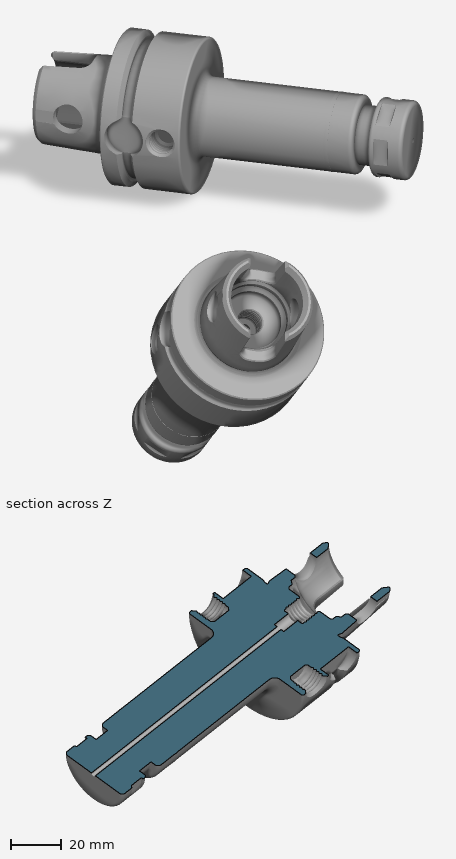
import cadquery as cq
import math

total_length = 152.0
axis_start = cq.Vector(0, 0, 0)
axis_end = cq.Vector(1, 0, 0)

flange_x = 31.8
taper_tip_radius = 18.47
taper_per_length = 0.05
tip_chamfer_length = 1.7
tip_chamfer_depth = 1.2
neck_start_x = 30.5
neck_radius = 19.5
face_relief_radius = 22.0
face_relief_floor_radius = 20.8
face_relief_depth = 0.5

flange_radius = 31.5
flange_end_x = 64.9
front_chamfer = 0.5
back_rounding = 0.9
groove_x = 41.8
groove_floor_width = 3.6
groove_mouth_width = 6.5
groove_floor_radius = 27.8
groove_shoulder_radius = 29.2

shaft_radius = 16.0
shaft_fillet = 3.0
ring_start_x = 119.8
ring_end_x = 121.5
ring_height = 0.08
shaft_end_x = 131.5
shaft_end_rounding = 1.8
collar_radius = 12.0

nut_radius = shaft_radius
nut_start_x = 137.9
nut_start_rounding = 1.4
nut_end_rounding = 1.7
flat_count = 6
flat_distance = 14.97
flat_start_x = 140.1
flat_end_x = 145.8
flat_end_slope = 0.6

bore_mouth_radius = 16.4
bore_mouth_length = 2.3
bore_radius = 14.7
bore_step_x = 21.0
inner_bore_radius = 13.75
inner_bore_end_x = 24.3
seat_radius = 12.0
seat_cone_length = 1.2
bore_floor_x = 28.1
seat_rounding = 1.0
coolant_thread_depth = 9.1
coolant_thread_tip_diameter = 9.3
coolant_bore_diameter = 5.0
coolant_bore_end_x = 45.6
through_diameter = 2.0

slot_width = 14.1
slot_end_x = 20.2
slot_corner_radius = 4.1
slot_edge_bevel = 0.5
slot_mouth_chamfer = 1.2
edge_margin = 0.2
cross_hole_x = 15.0
cross_hole_diameter = 12.5
key_flat_width = 5.2
key_flat_y = 18.4

pocket_diameter = 16.0
pocket_floor_y = 26.8
side_thread_x = 56.8
side_thread_mouth_y = 31.0
side_thread_depth = 9.1
side_thread_mouth_diameter = 12.0
side_thread_tip_diameter = 8.0

thread_major_diameter = 11.0
thread_minor_diameter = 10.0
thread_pitch = 1.5
lead_in = 1.5


def taper_radius(x):
    return taper_tip_radius + taper_per_length * x


def revolve_about_x(outline):
    return outline.close().revolve(360, axis_start, axis_end)


def outer_body():
    tip_radius = taper_radius(tip_chamfer_length) - tip_chamfer_depth
    groove_mouth = groove_mouth_width / 2
    groove_floor = groove_floor_width / 2
    outline = (
        cq.Workplane("XY")
        .lineTo(0, tip_radius)
        .lineTo(tip_chamfer_length, taper_radius(tip_chamfer_length))
        .lineTo(neck_start_x, taper_radius(neck_start_x))
        .lineTo(flange_x, neck_radius)
        .lineTo(flange_x + face_relief_depth, neck_radius)
        .lineTo(flange_x + face_relief_depth, face_relief_floor_radius)
        .lineTo(flange_x, face_relief_radius)
        .lineTo(flange_x, flange_radius - front_chamfer)
        .lineTo(flange_x + front_chamfer, flange_radius)
        .lineTo(groove_x - groove_mouth, flange_radius)
        .lineTo(groove_x - groove_floor, groove_shoulder_radius)
        .lineTo(groove_x - groove_floor, groove_floor_radius)
        .lineTo(groove_x + groove_floor, groove_floor_radius)
        .lineTo(groove_x + groove_floor, groove_shoulder_radius)
        .lineTo(groove_x + groove_mouth, flange_radius)
        .lineTo(flange_end_x - back_rounding, flange_radius)
        .radiusArc((flange_end_x, flange_radius - back_rounding), back_rounding)
        .lineTo(flange_end_x, shaft_radius + shaft_fillet)
        .radiusArc((flange_end_x + shaft_fillet, shaft_radius), -shaft_fillet)
        .lineTo(ring_start_x, shaft_radius)
        .lineTo(ring_start_x, shaft_radius + ring_height)
        .lineTo(ring_end_x, shaft_radius + ring_height)
        .lineTo(ring_end_x, shaft_radius)
        .lineTo(shaft_end_x - shaft_end_rounding, shaft_radius)
        .radiusArc((shaft_end_x, shaft_radius - shaft_end_rounding), shaft_end_rounding)
        .lineTo(shaft_end_x, collar_radius)
        .lineTo(nut_start_x, collar_radius)
        .lineTo(nut_start_x, nut_radius - nut_start_rounding)
        .radiusArc((nut_start_x + nut_start_rounding, nut_radius), nut_start_rounding)
        .lineTo(total_length - nut_end_rounding, nut_radius)
        .radiusArc((total_length, nut_radius - nut_end_rounding), nut_end_rounding)
        .lineTo(total_length, 0)
    )
    return revolve_about_x(outline)


def shank_bore():
    outline = (
        cq.Workplane("XY")
        .lineTo(0, bore_mouth_radius)
        .lineTo(bore_mouth_length, bore_radius)
        .lineTo(bore_step_x, bore_radius)
        .lineTo(bore_step_x + bore_radius - inner_bore_radius, inner_bore_radius)
        .lineTo(inner_bore_end_x, inner_bore_radius)
        .lineTo(inner_bore_end_x + seat_cone_length, seat_radius)
        .lineTo(bore_floor_x - seat_rounding, seat_radius)
        .radiusArc((bore_floor_x, seat_radius - seat_rounding), seat_rounding)
        .lineTo(bore_floor_x, 0)
    )
    return revolve_about_x(outline)


def tapped_hole(depth, mouth_diameter, tip_diameter):
    """Hole along +X from X = 0: mouth chamfer, ring-shaped thread grooves, tapered tip.

    Ahead of X = 0 the hole continues at its mouth diameter to break through a curved surface.
    """
    major = thread_major_diameter / 2
    minor = thread_minor_diameter / 2
    mouth = mouth_diameter / 2
    tip = tip_diameter / 2
    outline = (
        cq.Workplane("XY")
        .moveTo(-lead_in, 0)
        .lineTo(-lead_in, mouth)
        .lineTo(0, mouth)
        .lineTo(mouth - minor, minor)
    )
    first_groove = mouth - minor + thread_pitch / 2
    groove_count = math.floor((depth - first_groove) / thread_pitch)
    for index in range(groove_count):
        crest = first_groove + index * thread_pitch
        outline = (
            outline.lineTo(crest, minor)
            .lineTo(crest + major - minor, major)
            .lineTo(crest + 2 * (major - minor), minor)
        )
    tip_end = depth + minor - tip
    outline = outline.lineTo(depth, minor).lineTo(tip_end, tip).lineTo(tip_end, 0)
    return revolve_about_x(outline)


def axial_hole(start_x, end_x, diameter):
    return cq.Workplane("YZ", origin=(start_x, 0, 0)).circle(diameter / 2).extrude(end_x - start_x)


def drive_slot():
    """Slot along X that opens at the taper tip and passes through both walls of the shank."""
    half_width = slot_width / 2
    half_mouth = half_width + slot_mouth_chamfer
    height = 2 * flange_radius
    slot = (
        cq.Workplane("XY", origin=(0, 0, -height / 2))
        .moveTo(0, -half_mouth)
        .lineTo(slot_mouth_chamfer, -half_width)
        .lineTo(slot_end_x, -half_width)
        .lineTo(slot_end_x, half_width)
        .lineTo(slot_mouth_chamfer, half_width)
        .lineTo(0, half_mouth)
        .close()
        .extrude(height)
    )
    return slot.edges("|Z and >X").fillet(slot_corner_radius)


def bevel_slot_edges(body, start_x, inner_z, outer_z):
    """Bevel the slot edges that lie between two heights, on both sides of the shank."""
    end_x = slot_end_x + slot_edge_bevel
    half_width = slot_width / 2 + slot_edge_bevel
    for low_z, high_z in ((inner_z, outer_z), (-outer_z, -inner_z)):
        rim = cq.selectors.BoxSelector((start_x, -half_width, low_z), (end_x, half_width, high_z))
        body = body.edges(rim).chamfer(slot_edge_bevel)
    return body


def cross_hole():
    return (
        cq.Workplane("XZ", origin=(cross_hole_x, 0, 0))
        .circle(cross_hole_diameter / 2)
        .extrude(flange_radius, both=True)
    )


def key_flat():
    """Cutter for the flat between taper tip and cross hole on the -Y side."""
    return cq.Workplane("XY").box(
        cross_hole_x, key_flat_y, key_flat_width, centered=(False, False, True)
    ).translate((0, -2 * key_flat_y, 0))


def flange_pocket():
    return (
        cq.Workplane("XZ", origin=(groove_x, -pocket_floor_y, 0))
        .circle(pocket_diameter / 2)
        .extrude(flange_radius - pocket_floor_y)
    )


def flange_thread():
    return (
        tapped_hole(side_thread_depth, side_thread_mouth_diameter, side_thread_tip_diameter)
        .rotate(axis_start, (0, 0, 1), 90)
        .translate((side_thread_x, -side_thread_mouth_y, 0))
    )


def coolant_thread():
    return tapped_hole(
        coolant_thread_depth, thread_major_diameter, coolant_thread_tip_diameter
    ).translate((bore_floor_x, 0, 0))


def nut_flat():
    """Cutter for one spanner flat on the -Y side, with a sloped wall towards the nut face."""
    return (
        cq.Workplane("XY", origin=(0, 0, -nut_radius))
        .moveTo(flat_start_x, -flat_distance)
        .lineTo(flat_end_x, -flat_distance)
        .lineTo(flat_end_x + flat_end_slope, -nut_radius)
        .lineTo(flat_start_x, -nut_radius)
        .close()
        .extrude(2 * nut_radius)
    )


def turned_about_x(shape, angle):
    return shape.rotate(axis_start, axis_end, angle)


bore_edge_z = math.sqrt(bore_radius**2 - (slot_width / 2) ** 2)
result = outer_body().cut(drive_slot())
result = bevel_slot_edges(result, slot_mouth_chamfer, bore_radius, flange_radius)
result = result.cut(shank_bore())
result = bevel_slot_edges(result, bore_mouth_length, bore_edge_z - edge_margin, bore_radius + edge_margin)
result = result.cut(cross_hole())

for make_cutter in (key_flat, flange_pocket, flange_thread):
    for angle in (0, 180):
        result = result.cut(turned_about_x(make_cutter(), angle))

for index in range(flat_count):
    result = result.cut(turned_about_x(nut_flat(), index * 360 / flat_count))

result = result.cut(coolant_thread())
result = result.cut(axial_hole(bore_floor_x, coolant_bore_end_x, coolant_bore_diameter))
result = result.cut(axial_hole(bore_floor_x, total_length, through_diameter))